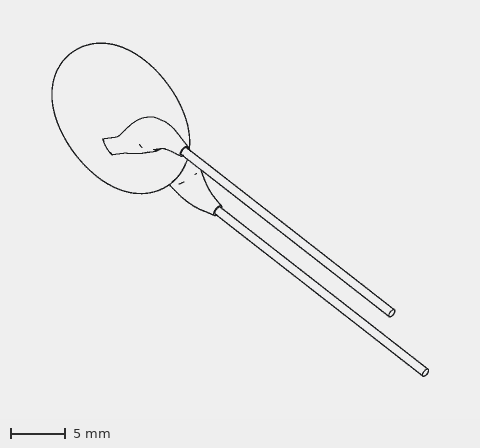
import cadquery as cq
import math

DISC_RADIUS = 7.5
DISC_THICKNESS = 7.0
OVERALL_THICKNESS = 7.5
HALF_THICKNESS = DISC_THICKNESS / 2

WIRE_DIAMETER = 0.8
WIRE_HEIGHT = 6.0
WIRE_END_X = 37.5
LEAD_OFFSET_Y = 2.15

HORN_TIP_X = 10.45
HORN_TIP_RADIUS = 0.55
SLOPE_ANGLE = 45.0
BEND_CORNER_X = 7.4
BEND_START_X = 8.3
CORNER_TO_ROOT = 1.7
BARREL_LENGTH = 6.2
BARREL_RADIUS = OVERALL_THICKNESS / 2 - LEAD_OFFSET_Y

TOWARD_DISC = cq.Vector(-1, 0, 0)
OUTWARD = cq.Vector(0, -1, 0)
DOWN_SLOPE = cq.Vector(-math.cos(math.radians(SLOPE_ANGLE)), 0, -math.sin(math.radians(SLOPE_ANGLE)))
ACROSS_SLOPE = DOWN_SLOPE.cross(OUTWARD)

WIRE_START = cq.Vector(HORN_TIP_X, -LEAD_OFFSET_Y, WIRE_HEIGHT)
BEND_START = cq.Vector(BEND_START_X, -LEAD_OFFSET_Y, WIRE_HEIGHT)
BEND_CORNER = cq.Vector(BEND_CORNER_X, -LEAD_OFFSET_Y, WIRE_HEIGHT)
HORN_ROOT = BEND_CORNER + DOWN_SLOPE * CORNER_TO_ROOT
BARREL_END = HORN_ROOT + DOWN_SLOPE * BARREL_LENGTH


def make_disc():
    """Flat-faced disc with a fully rounded rim."""
    flat_radius = DISC_RADIUS - HALF_THICKNESS
    return (
        cq.Workplane("XY")
        .moveTo(0, -HALF_THICKNESS)
        .lineTo(flat_radius, -HALF_THICKNESS)
        .threePointArc((DISC_RADIUS, 0), (flat_radius, HALF_THICKNESS))
        .lineTo(0, HALF_THICKNESS)
        .close()
        .revolve(360, (0, 0, 0), (0, 1, 0))
    )


def make_wire():
    """Straight round wire running out along +X."""
    return (
        cq.Workplane("YZ", origin=WIRE_START.toTuple())
        .circle(WIRE_DIAMETER / 2)
        .extrude(WIRE_END_X - HORN_TIP_X)
    )


def make_horn():
    """Bent cone that widens from the wire to the barrel."""
    centreline = cq.Wire.assembleEdges(
        [cq.Edge.makeSpline([WIRE_START, BEND_START, HORN_ROOT], tangents=[TOWARD_DISC, DOWN_SLOPE])]
    )
    tip_circle = cq.Wire.makeCircle(HORN_TIP_RADIUS, WIRE_START, TOWARD_DISC)
    root_circle = cq.Wire.makeCircle(BARREL_RADIUS, HORN_ROOT, DOWN_SLOPE)
    return cq.Workplane(cq.Solid.sweep_multi([tip_circle, root_circle], centreline))


def make_barrel():
    """Cylinder that shows as a low ridge on the disc's flat face, its exposed end cut at 45 degrees."""
    cylinder = cq.Solid.makeCylinder(BARREL_RADIUS, BARREL_LENGTH, HORN_ROOT, DOWN_SLOPE)
    cut_origin = cq.Vector(BARREL_END.x, -HALF_THICKNESS, BARREL_END.z)
    cut_plane = cq.Plane(cut_origin, xDir=ACROSS_SLOPE, normal=DOWN_SLOPE + OUTWARD)
    cut_size = 2 * BARREL_RADIUS
    end_cut = cq.Workplane(cut_plane).rect(cut_size, cut_size).extrude(cut_size)
    return cq.Workplane(cylinder).cut(end_cut)


def make_lead():
    """Wire, horn and barrel on the -Y side of the disc."""
    return make_wire().union(make_horn()).union(make_barrel())


front_lead = make_lead()
back_lead = front_lead.rotate((0, 0, 0), (1, 0, 0), 180)

result = make_disc().union(front_lead).union(back_lead)